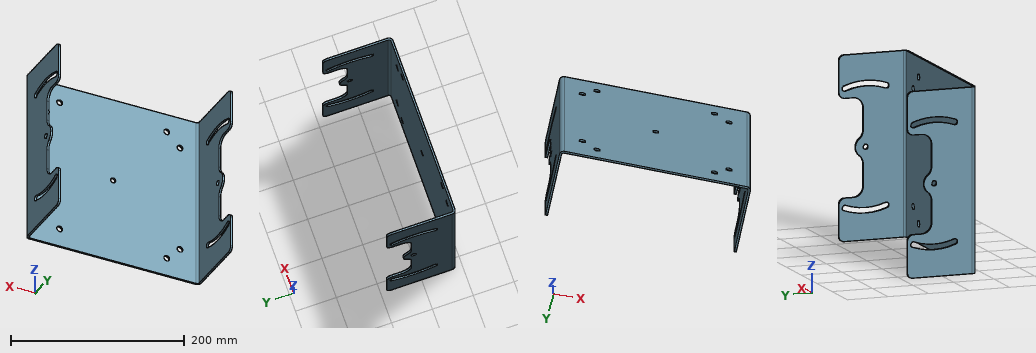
import cadquery as cq
import math

WIDTH = 225.2
DEPTH = 85.0
HEIGHT = 220.0
SHEET = 2.5
BEND_RADIUS = 5.2

PLATE_HOLE_FAR = 86.5
PLATE_HOLE_NEAR = 69.4
PLATE_HOLE_DIAMETER = 7.2
CENTER_HOLE_DIAMETER = 6.5

PIVOT_Y = 52.0
PIVOT_HOLE_DIAMETER = 6.0
PIVOT_EAR_RADIUS = 12.5

SLOT_RADIUS = 75.0
SLOT_WIDTH = 6.5
SLOT_HALF_ANGLE = math.radians(20)

NOTCH_FLOOR_Y = 55.0
NOTCH_HALF_HEIGHT = 58.8
NOTCH_CORNER_RADIUS = 12.5
EAR_BLEND_RADIUS = 13.0
NOTCH_MOUTH_RADIUS = 7.0
REAR_CORNER_RADIUS = 6.0


def make_channel():
    """Sheet bent into a U, open toward +Y, with its front face at Y = 0."""
    outer = cq.Workplane("XY").box(WIDTH, DEPTH, HEIGHT, centered=(True, False, True))
    outer = outer.edges("|Z and <Y").fillet(BEND_RADIUS)
    inner = (
        cq.Workplane("XY")
        .box(WIDTH - 2 * SHEET, DEPTH, HEIGHT, centered=(True, False, True))
        .edges("|Z and <Y")
        .fillet(BEND_RADIUS - SHEET)
        .translate((0, SHEET, 0))
    )
    channel = outer.cut(inner)
    return channel.edges("|X and >Y").fillet(REAR_CORNER_RADIUS)


def through_flanges(sketch):
    """Extrude a YZ sketch through both side flanges."""
    return sketch.extrude(WIDTH / 2, both=True)


def plate_holes():
    near, far = PLATE_HOLE_NEAR, PLATE_HOLE_FAR
    points = []
    for x_side in (-1, 1):
        for z_side in (-1, 1):
            points.append((x_side * far, z_side * near))
            points.append((x_side * near, z_side * far))
    plane = cq.Workplane("XZ")
    corner_holes = plane.pushPoints(points).circle(PLATE_HOLE_DIAMETER / 2).extrude(-SHEET)
    center_hole = plane.circle(CENTER_HOLE_DIAMETER / 2).extrude(-SHEET)
    return corner_holes.union(center_hole)


def curved_slot(z_side):
    """Round-ended slot along an arc about the pivot, above (1) or below (-1) it."""

    def point(radius, angle):
        return (PIVOT_Y + radius * math.sin(angle), z_side * radius * math.cos(angle))

    inner = SLOT_RADIUS - SLOT_WIDTH / 2
    outer = SLOT_RADIUS + SLOT_WIDTH / 2
    half = SLOT_HALF_ANGLE
    tip = half + 2 * math.asin(SLOT_WIDTH / (4 * SLOT_RADIUS))
    return through_flanges(
        cq.Workplane("YZ")
        .moveTo(*point(outer, -half))
        .threePointArc(point(outer, 0), point(outer, half))
        .threePointArc(point(SLOT_RADIUS, tip), point(inner, half))
        .threePointArc(point(inner, 0), point(inner, -half))
        .threePointArc(point(SLOT_RADIUS, -tip), point(outer, -half))
        .close()
    )


def rear_notch():
    """Notch with rounded mouth, round corners and a pivot ear blended into its floor."""
    blend_y = NOTCH_FLOOR_Y + EAR_BLEND_RADIUS
    center_distance = PIVOT_EAR_RADIUS + EAR_BLEND_RADIUS
    blend_z = math.sqrt(center_distance**2 - (blend_y - PIVOT_Y) ** 2)
    ear_share = PIVOT_EAR_RADIUS / center_distance
    touch_y = PIVOT_Y + (blend_y - PIVOT_Y) * ear_share
    touch_z = blend_z * ear_share
    touch_angle = math.atan2(touch_z - blend_z, touch_y - blend_y)
    middle_angle = (touch_angle - math.pi) / 2
    middle_y = blend_y + EAR_BLEND_RADIUS * math.cos(middle_angle)
    middle_z = blend_z + EAR_BLEND_RADIUS * math.sin(middle_angle)

    corner_y = NOTCH_FLOOR_Y + NOTCH_CORNER_RADIUS
    corner_z = NOTCH_HALF_HEIGHT - NOTCH_CORNER_RADIUS
    corner_reach = NOTCH_CORNER_RADIUS * math.sqrt(0.5)
    corner_middle_y = corner_y - corner_reach
    corner_middle_z = corner_z + corner_reach

    mouth_y = DEPTH - NOTCH_MOUTH_RADIUS
    mouth_z = NOTCH_HALF_HEIGHT + NOTCH_MOUTH_RADIUS
    mouth_reach = NOTCH_MOUTH_RADIUS * math.sqrt(0.5)
    mouth_middle_y = mouth_y + mouth_reach
    mouth_middle_z = mouth_z - mouth_reach

    return through_flanges(
        cq.Workplane("YZ")
        .moveTo(DEPTH, mouth_z)
        .threePointArc((mouth_middle_y, mouth_middle_z), (mouth_y, NOTCH_HALF_HEIGHT))
        .lineTo(corner_y, NOTCH_HALF_HEIGHT)
        .threePointArc((corner_middle_y, corner_middle_z), (NOTCH_FLOOR_Y, corner_z))
        .lineTo(NOTCH_FLOOR_Y, blend_z)
        .threePointArc((middle_y, middle_z), (touch_y, touch_z))
        .threePointArc((PIVOT_Y + PIVOT_EAR_RADIUS, 0), (touch_y, -touch_z))
        .threePointArc((middle_y, -middle_z), (NOTCH_FLOOR_Y, -blend_z))
        .lineTo(NOTCH_FLOOR_Y, -corner_z)
        .threePointArc((corner_middle_y, -corner_middle_z), (corner_y, -NOTCH_HALF_HEIGHT))
        .lineTo(mouth_y, -NOTCH_HALF_HEIGHT)
        .threePointArc((mouth_middle_y, -mouth_middle_z), (DEPTH, -mouth_z))
        .close()
    )


pivot_holes = through_flanges(
    cq.Workplane("YZ").center(PIVOT_Y, 0).circle(PIVOT_HOLE_DIAMETER / 2)
)

result = make_channel().cut(plate_holes()).cut(rear_notch()).cut(pivot_holes)
for slot_side in (-1, 1):
    result = result.cut(curved_slot(slot_side))